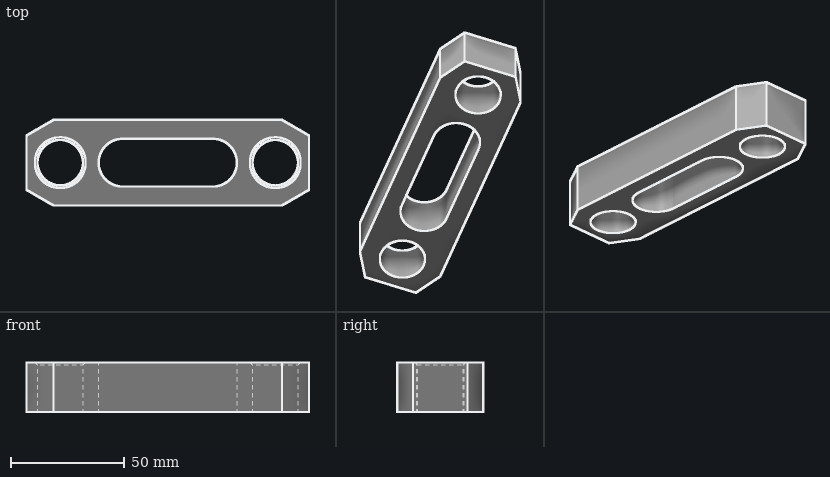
import cadquery as cq
import math

length = 125.0
width = 38.0
height = 22.0

corner_depth = 7.0
corner_angle = math.radians(30)
corner_run = corner_depth / math.tan(corner_angle)

hole_spacing = 95.0
hole_diameter = 20.0
countersink_diameter = 22.5
countersink_angle = 90

slot_length = 61.0
slot_width = 21.0


def make_block():
    half_length = length / 2
    half_width = width / 2
    quarter = [
        (half_length, half_width - corner_depth),
        (half_length - corner_run, half_width),
    ]
    upper = quarter + [(-x, y) for x, y in reversed(quarter)]
    lower = [(-x, -y) for x, y in upper]
    return cq.Workplane("XY").polyline(upper + lower).close().extrude(height)


def cut_slot(body):
    return body.faces(">Z").workplane(origin=(0, 0, height)).slot2D(slot_length, slot_width).cutThruAll()


def cut_holes(body):
    centers = [(-hole_spacing / 2, 0), (hole_spacing / 2, 0)]
    return (
        body.faces(">Z")
        .workplane(origin=(0, 0, height))
        .pushPoints(centers)
        .cskHole(hole_diameter, countersink_diameter, countersink_angle)
    )


result = cut_holes(cut_slot(make_block()))